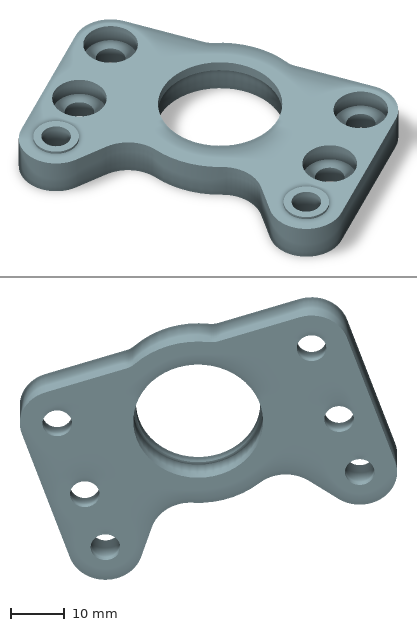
import cadquery as cq
import math

length = 64.0
thickness = 7.0
corner_radius = 7.0
boss_height = 0.5

hole_diameter = 5.5
hole_x = length / 2 - corner_radius
row_offset = 8.0
leg_hole_y = -20.0
counterbore_diameter = 10.2
counterbore_depth = 3.5
boss_diameter = 8.5

bore_diameter = 24.2
lip_diameter = 23.2
lip_height = 2.0

top_rim_radius = 17.0
lower_rim_radius = 17.5
top_blend_radius = 4.0
leg_blend_radius = 7.5
leg_blend_x = 9.4
top_y = row_offset + corner_radius


def polar(center, radius, angle):
    """Point on a circle, angle in radians."""
    return (center[0] + radius * math.cos(angle), center[1] + radius * math.sin(angle))


def mirrored(point):
    return (-point[0], point[1])


def plate_outline():
    top_blend_y = top_y + top_blend_radius
    top_reach = top_rim_radius + top_blend_radius
    top_center = (math.sqrt(top_reach**2 - top_blend_y**2), top_blend_y)
    leg_reach = lower_rim_radius + leg_blend_radius
    leg_center = (leg_blend_x, -math.sqrt(leg_reach**2 - leg_blend_x**2))

    top_angle = math.atan2(top_center[1], top_center[0])
    top_on_rim = polar((0, 0), top_rim_radius, top_angle)
    top_mid = polar(top_center, top_blend_radius, (top_angle - math.pi - math.pi / 2) / 2)
    top_on_edge = (top_center[0], top_y)

    dx = hole_x - leg_center[0]
    dy = leg_hole_y - leg_center[1]
    tilt = math.acos((corner_radius + leg_blend_radius) / math.hypot(dx, dy))
    flank_angle = math.atan2(dy, dx) + tilt
    tip = (hole_x, leg_hole_y)
    flank_top = polar(leg_center, leg_blend_radius, flank_angle)
    flank_bottom = polar(tip, corner_radius, flank_angle + math.pi)
    rim_angle = math.atan2(leg_center[1], leg_center[0])
    leg_on_rim = polar((0, 0), lower_rim_radius, rim_angle)
    leg_mid = polar(leg_center, leg_blend_radius, (flank_angle + rim_angle + math.pi) / 2)

    tip_mid = polar(tip, corner_radius, (flank_angle - math.pi) / 2)
    corner_mid = polar((hole_x, row_offset), corner_radius, math.pi / 4)
    side_top = (length / 2, row_offset)
    side_bottom = (length / 2, leg_hole_y)

    return (
        cq.Workplane("XY")
        .moveTo(*mirrored(top_on_rim))
        .threePointArc((0, top_rim_radius), top_on_rim)
        .threePointArc(top_mid, top_on_edge)
        .lineTo(hole_x, top_y)
        .threePointArc(corner_mid, side_top)
        .lineTo(*side_bottom)
        .threePointArc(tip_mid, flank_bottom)
        .lineTo(*flank_top)
        .threePointArc(leg_mid, leg_on_rim)
        .threePointArc((0, -lower_rim_radius), mirrored(leg_on_rim))
        .threePointArc(mirrored(leg_mid), mirrored(flank_top))
        .lineTo(*mirrored(flank_bottom))
        .threePointArc(mirrored(tip_mid), mirrored(side_bottom))
        .lineTo(*mirrored(side_top))
        .threePointArc(mirrored(corner_mid), (-hole_x, top_y))
        .lineTo(*mirrored(top_on_edge))
        .threePointArc(mirrored(top_mid), mirrored(top_on_rim))
        .close()
    )


def cylinders(points, diameter, bottom, top):
    """Upright cylinders of one diameter between two heights."""
    return (
        cq.Workplane("XY", origin=(0, 0, bottom))
        .pushPoints(points)
        .circle(diameter / 2)
        .extrude(top - bottom)
    )


leg_points = [(side * hole_x, leg_hole_y) for side in (-1, 1)]
counterbore_points = [(side * hole_x, y) for side in (-1, 1) for y in (-row_offset, row_offset)]
top_z = thickness + boss_height

result = plate_outline().extrude(thickness)

result = result.union(cylinders(leg_points, boss_diameter, 0, top_z))

result = result.cut(cylinders([(0, 0)], lip_diameter, 0, thickness))
result = result.cut(cylinders([(0, 0)], bore_diameter, 0, thickness - lip_height))

result = result.cut(cylinders(leg_points + counterbore_points, hole_diameter, 0, top_z))
counterbore_floor = thickness - counterbore_depth
result = result.cut(cylinders(counterbore_points, counterbore_diameter, counterbore_floor, thickness))